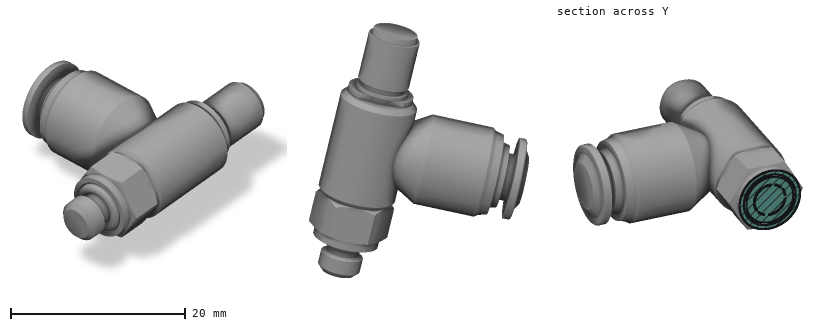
import cadquery as cq
import math


knob_end_y = 14.43
knob_tip_length = 0.72
knob_tip_end_radius = 2.58
knob_tip_base_radius = 2.67
knob_radius = 3.0
knob_base_y = 8.15
needle_radius = 2.52
ring_top_y = 7.4
ring_thickness = 0.33

collar_radius = 3.8
collar_offset_z = 0.42
collar_flat_z = -2.3
collar_top_y = 6.93

body_radius = 4.5
body_top_y = 6.3
body_bottom_y = -6.2
body_chamfer = 0.55

hex_flats = 8.0
hex_corner_radius = hex_flats / math.sqrt(3)
hex_bottom_y = -10.53
hex_bottom_face_radius = 3.8
hex_top_bevel = 0.4
hex_bottom_bevel = 0.3

seat_y = -11.52
seal_section_radius = 0.57
seal_outer_radius = 3.03
seal_groove_radius = 3.2
seal_groove_depth = 0.5

male_neck_radius = 1.92
male_radius = 2.45
male_end_y = -15.57
male_end_bevel = 0.6
male_shoulder_y = -13.32
male_shoulder_bevel = 0.27
male_tip_radius = 1.85

port_radius = 5.25
port_shoulder_x = -6.5
port_taper_angle = 30.0
port_front_x = -13.62
port_bevel_length = 0.4
port_bevel_radius = 4.95
port_step_x = -15.0
port_step_radius = 4.7
guide_base_radius = 3.87
guide_front_radius = 3.65
guide_front_x = -15.9

button_end_x = -18.4
button_face_radius = 2.75
button_base_radius = 3.78
button_flange_front_x = -17.75
button_flange_back_x = -16.85
button_flange_radius = 4.75
button_edge_fillet = 0.25
button_neck_radius = 2.73
button_flare_length = 0.42
button_flare_height = 0.2


def turned_about_y(points):
    """Solid of revolution about Y from (radius, y) points, closed along the axis."""
    outline = [(0, points[0][1])] + points + [(0, points[-1][1])]
    return cq.Workplane("XY").polyline(outline).close().revolve(360, (0, 0, 0), (0, 1, 0))


def make_needle():
    knob_shoulder_y = knob_end_y - knob_tip_length
    ring_bottom_y = ring_top_y - ring_thickness
    return turned_about_y([
        (knob_tip_end_radius, knob_end_y),
        (knob_tip_base_radius, knob_shoulder_y),
        (knob_radius, knob_shoulder_y),
        (knob_radius, knob_base_y),
        (needle_radius, knob_base_y),
        (needle_radius, ring_top_y),
        (knob_radius, ring_top_y),
        (knob_radius, ring_bottom_y),
        (needle_radius, ring_bottom_y),
        (needle_radius, 0),
    ])


def make_collar():
    """Collar resting on the top face of the body, overhanging its bevel."""
    disc = (
        cq.Workplane("XZ", origin=(0, collar_top_y, 0))
        .center(0, collar_offset_z)
        .circle(collar_radius)
        .extrude(collar_top_y - body_top_y)
    )
    keep_height = collar_offset_z + collar_radius - collar_flat_z
    keep = cq.Workplane("XY", origin=(0, 0, collar_flat_z)).box(
        2 * collar_radius, 2 * collar_top_y, keep_height, centered=(True, True, False)
    )
    return disc.intersect(keep)


def make_body():
    end_radius = body_radius - body_chamfer
    return turned_about_y([
        (end_radius, body_top_y),
        (body_radius, body_top_y - body_chamfer),
        (body_radius, body_bottom_y + body_chamfer),
        (end_radius, body_bottom_y),
    ])


def make_hexagon():
    prism = (
        cq.Workplane("XZ", origin=(0, body_bottom_y, 0))
        .polygon(6, 2 * hex_corner_radius)
        .extrude(body_bottom_y - hex_bottom_y)
    )
    bevel_limit = turned_about_y([
        (hex_flats / 2, body_bottom_y),
        (hex_corner_radius, body_bottom_y - hex_top_bevel),
        (hex_corner_radius, hex_bottom_y + hex_bottom_bevel),
        (hex_bottom_face_radius, hex_bottom_y),
    ])
    return prism.intersect(bevel_limit)


def make_male_end():
    groove_floor_y = seat_y + seal_groove_depth
    return turned_about_y([
        (hex_bottom_face_radius, hex_bottom_y),
        (hex_bottom_face_radius, seat_y),
        (seal_groove_radius, seat_y),
        (seal_groove_radius, groove_floor_y),
        (male_neck_radius, groove_floor_y),
        (male_neck_radius, male_shoulder_y + male_shoulder_bevel),
        (male_radius, male_shoulder_y),
        (male_radius, male_end_y + male_end_bevel),
        (male_tip_radius, male_end_y),
    ])


def make_seal():
    return (
        cq.Workplane("XY")
        .center(seal_outer_radius - seal_section_radius, seat_y)
        .circle(seal_section_radius)
        .revolve(360, (seal_section_radius - seal_outer_radius, 0, 0),
                 (seal_section_radius - seal_outer_radius, 1, 0))
    )


def make_port():
    """Push-in housing and release button, turned about X and tapering into the body."""
    taper_end_radius = port_radius + port_shoulder_x * math.tan(math.radians(port_taper_angle))
    flare_arc_radius = (button_flare_length**2 + button_flare_height**2) / (2 * button_flare_height)
    edge_y = button_flange_radius - button_edge_fillet
    profile = (
        cq.Workplane("XY")
        .moveTo(0, 0)
        .lineTo(button_end_x, 0)
        .lineTo(button_end_x, button_face_radius)
        .lineTo(button_flange_front_x, button_base_radius)
        .lineTo(button_flange_front_x, edge_y)
        .radiusArc((button_flange_front_x + button_edge_fillet, button_flange_radius), button_edge_fillet)
        .lineTo(button_flange_back_x, button_flange_radius)
        .lineTo(button_flange_back_x, button_neck_radius + button_flare_height)
        .radiusArc((button_flange_back_x + button_flare_length, button_neck_radius), -flare_arc_radius)
        .lineTo(guide_front_x, button_neck_radius)
        .lineTo(guide_front_x, guide_front_radius)
        .lineTo(port_step_x, guide_base_radius)
        .lineTo(port_step_x, port_step_radius)
        .lineTo(port_front_x - port_bevel_length, port_bevel_radius)
        .lineTo(port_front_x, port_radius)
        .lineTo(port_shoulder_x, port_radius)
        .lineTo(0, taper_end_radius)
        .close()
    )
    return profile.revolve(360, (0, 0, 0), (1, 0, 0))


result = (
    make_body()
    .union(make_needle())
    .union(make_collar())
    .union(make_hexagon())
    .union(make_male_end())
    .union(make_seal())
    .union(make_port())
)